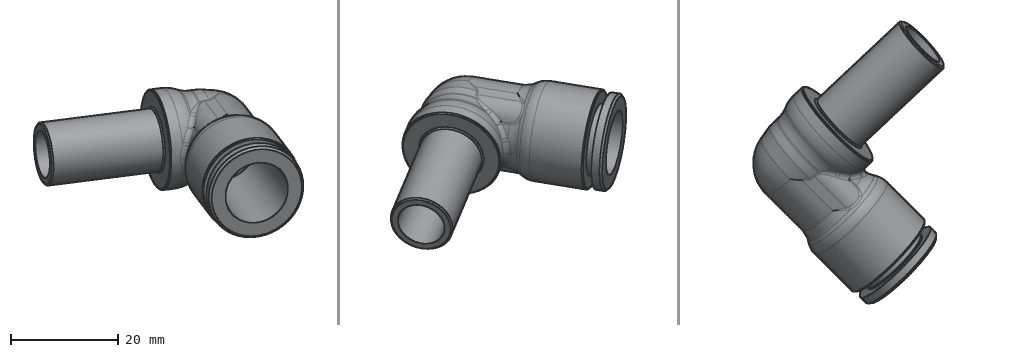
import cadquery as cq
import math


stem_diameter = 11.95
bore_diameter = 9.0
stem_end_y = -33.0
stem_chamfer = 0.3
flange_radius = 9.5
flange_face_y = -11.0
flange_rim_y = -8.55
neck_radius = 8.4
neck_top_y = -3.2
neck_bottom_y = -3.5
flange_slope = 22.5
flange_line_y = (-5.65, -6.05)
dome_radius = 8.0
dome_tangent_y = 1.5
taper_end_y = -1.3
edge_chamfer = 0.25

pipe_radius = dome_radius
pipe_corner_radius = 4.0
pipe_bottom_y = -6.2
pipe_end_x = 9.9
body_slope = 30.0
body_blend_radius = 4.0
body_radius = 9.5
body_end_x = 25.0
neck_diameter = 13.7
collar_diameter = 18.5
collar_start_x = 26.6
collar_end_x = 28.6
collar_chamfer = 0.45
collar_root_chamfer = 0.2
socket_diameter = 12.2
socket_floor_x = 8.0

crease_radius = 1.0
crease_margin = 0.1
flat_tolerance = 0.004


def stem_leg():
    """Domed elbow shell, flange and stem, revolved about the Y axis."""
    stem_radius = stem_diameter / 2
    dome_tangent_radius = math.sqrt(dome_radius**2 - dome_tangent_y**2)
    arc_middle = dome_radius * math.sqrt(0.5)
    taper_rate = dome_tangent_y / dome_tangent_radius
    taper_end_radius = dome_tangent_radius + (dome_tangent_y - taper_end_y) * taper_rate
    slope = math.radians(flange_slope)
    line_start_y, line_end_y = flange_line_y
    line_start_radius = neck_radius + (neck_bottom_y - line_start_y) * math.tan(slope / 2)
    line_end_radius = line_start_radius + (line_start_y - line_end_y) * math.tan(slope)
    profile = (
        cq.Workplane("XY")
        .moveTo(0, dome_radius)
        .threePointArc((arc_middle, arc_middle), (dome_tangent_radius, dome_tangent_y))
        .lineTo(taper_end_radius, taper_end_y)
        .lineTo(neck_radius, neck_top_y)
        .lineTo(neck_radius, neck_bottom_y)
        .tangentArcPoint((line_start_radius, line_start_y), relative=False)
        .lineTo(line_end_radius, line_end_y)
        .tangentArcPoint((flange_radius, flange_rim_y), relative=False)
        .lineTo(flange_radius, flange_face_y + edge_chamfer)
        .lineTo(flange_radius - edge_chamfer, flange_face_y)
        .lineTo(stem_radius + stem_chamfer, flange_face_y)
        .lineTo(stem_radius, flange_face_y - stem_chamfer)
        .lineTo(stem_radius, stem_end_y + stem_chamfer)
        .lineTo(stem_radius - stem_chamfer, stem_end_y)
        .lineTo(0, stem_end_y)
        .close()
    )
    return profile.revolve(360, (0, 0, 0), (0, 1, 0))


def socket_leg():
    """Pipe, socket body, neck and collar, revolved about the X axis."""
    slope = math.radians(body_slope)
    blend_length = body_blend_radius * math.sin(slope)
    blend_rise = body_blend_radius * (1 - math.cos(slope))
    line_rise = body_radius - pipe_radius - 2 * blend_rise
    line_start_x = pipe_end_x + blend_length
    line_end_x = line_start_x + line_rise / math.tan(slope)
    body_start_x = line_end_x + blend_length
    neck_outer_radius = neck_diameter / 2
    collar_radius = collar_diameter / 2
    profile = (
        cq.Workplane("XY")
        .lineTo(0, pipe_radius)
        .lineTo(pipe_end_x, pipe_radius)
        .tangentArcPoint((line_start_x, pipe_radius + blend_rise), relative=False)
        .lineTo(line_end_x, body_radius - blend_rise)
        .tangentArcPoint((body_start_x, body_radius), relative=False)
        .lineTo(body_end_x - edge_chamfer, body_radius)
        .lineTo(body_end_x, body_radius - edge_chamfer)
        .lineTo(body_end_x, neck_outer_radius)
        .lineTo(collar_start_x - collar_root_chamfer, neck_outer_radius)
        .lineTo(collar_start_x, neck_outer_radius + collar_root_chamfer)
        .lineTo(collar_start_x, collar_radius)
        .lineTo(collar_end_x - collar_chamfer, collar_radius)
        .lineTo(collar_end_x, collar_radius - collar_chamfer)
        .lineTo(collar_end_x, 0)
        .close()
    )
    return profile.revolve(360, (0, 0, 0), (1, 0, 0))


def pipe_shoulders():
    """Flat-sided, round-cornered thickening of the pipe on its -Y half."""
    length = pipe_end_x + body_blend_radius
    return (
        cq.Workplane("XY")
        .box(length, -pipe_bottom_y, 2 * pipe_radius, centered=(False, False, True))
        .translate((0, pipe_bottom_y, 0))
        .edges("|X and <Y")
        .fillet(pipe_corner_radius)
    )


def blended(shell):
    """Round the creases between the pipe, its shoulders, the stem leg and the socket body."""
    corner_top_y = pipe_bottom_y + pipe_corner_radius
    outside = body_radius - edge_chamfer
    crease_zone = cq.selectors.BoxSelector(
        (-crease_margin, -pipe_radius - crease_margin, -outside),
        (pipe_end_x + body_blend_radius, dome_tangent_y + crease_margin, outside),
        boundingbox=True,
    )

    def is_crease(edge):
        bounds = edge.BoundingBox()
        if edge.geomType() == "LINE":
            return bounds.ymax < corner_top_y - crease_margin
        return bounds.xlen > flat_tolerance

    return shell.edges(crease_zone).filter(is_crease).fillet(crease_radius)


def passages():
    """Mitred bore from the stem end into the pipe, opening into the tube socket."""
    bore = (
        cq.Workplane("XZ", origin=(0, stem_end_y, 0))
        .circle(bore_diameter / 2)
        .sweep(
            cq.Workplane("XY").moveTo(0, stem_end_y).lineTo(0, 0).lineTo(socket_floor_x, 0),
            transition="right",
        )
    )
    socket = (
        cq.Workplane("YZ", origin=(socket_floor_x, 0, 0))
        .circle(socket_diameter / 2)
        .extrude(collar_end_x - socket_floor_x)
    )
    return bore.union(socket)


shell = stem_leg().union(socket_leg()).union(pipe_shoulders())
result = blended(shell).cut(passages())